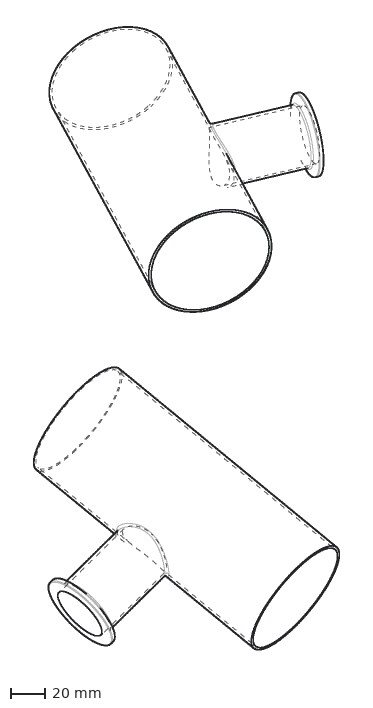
import cadquery as cq
import math

run_length = 171.45
run_outer_diameter = 76.2
wall_thickness = 1.65
run_inner_diameter = run_outer_diameter - 2 * wall_thickness

branch_outer_diameter = 38.1
branch_inner_diameter = branch_outer_diameter - 2 * wall_thickness
branch_face_y = 92.08
weld_fillet_radius = 1.65

ferrule_length = 12.7
ferrule_joint_y = branch_face_y - ferrule_length
flange_diameter = 50.39
flange_rim_thickness = 2.86
flange_rim_edge_radius = 0.5
flange_back_angle = 20.0
flange_neck_radius = 1.2


def run_cylinder(diameter):
    """Solid cylinder along X over the full run length."""
    return cq.Workplane("YZ").circle(diameter / 2).extrude(run_length / 2, both=True)


def branch_cylinder(diameter, end_y):
    """Solid cylinder along +Y from the run axis to end_y."""
    return cq.Workplane("XZ").circle(diameter / 2).extrude(-end_y)


def clamp_ferrule():
    """Solid ferrule revolved about Y: a rounded rim, a sloping back and a filleted neck."""
    rim_radius = flange_diameter / 2
    tube_radius = branch_outer_diameter / 2
    rim_back_y = branch_face_y - flange_rim_thickness
    slope = math.tan(math.radians(flange_back_angle))
    neck_y = rim_back_y - (rim_radius - tube_radius) * slope

    profile = (
        cq.Workplane("XY")
        .moveTo(0, branch_face_y)
        .lineTo(rim_radius, branch_face_y)
        .lineTo(rim_radius, rim_back_y)
        .lineTo(tube_radius, neck_y)
        .lineTo(tube_radius, ferrule_joint_y)
        .lineTo(0, ferrule_joint_y)
        .close()
    )
    ferrule = profile.revolve(360, (0, 0, 0), (0, 1, 0))

    ferrule = ferrule.edges(cq.selectors.RadiusNthSelector(-1)).fillet(flange_rim_edge_radius)
    neck_edge = cq.selectors.BoxSelector(
        (-rim_radius, neck_y - flange_neck_radius, -rim_radius),
        (rim_radius, neck_y + flange_neck_radius, rim_radius),
    )
    return ferrule.edges(neck_edge).edges("%CIRCLE").fillet(flange_neck_radius)


def outer_tee():
    """Solid run and branch joined by the weld fillet."""
    branch = branch_cylinder(branch_outer_diameter, ferrule_joint_y)
    tee = run_cylinder(run_outer_diameter).union(branch)
    joint_edges = tee.edges("not (%LINE or %CIRCLE)")
    return joint_edges.fillet(weld_fillet_radius)


result = (
    outer_tee()
    .union(clamp_ferrule())
    .cut(run_cylinder(run_inner_diameter))
    .cut(branch_cylinder(branch_inner_diameter, branch_face_y))
)